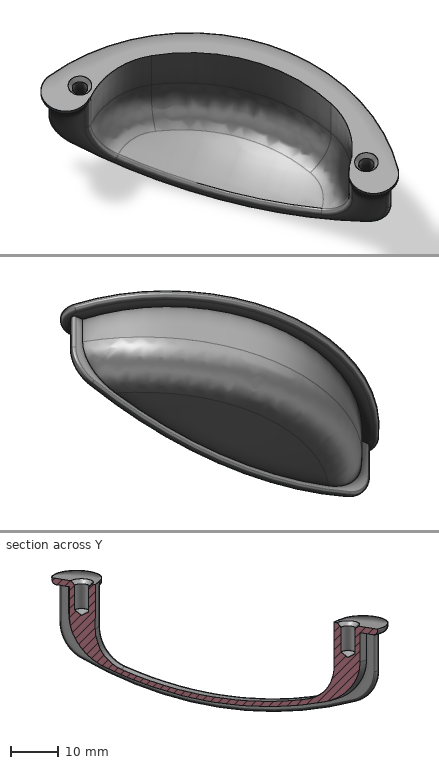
import cadquery as cq
import math

length = 79.0
flange_back = 25.75
flange_thickness = 1.5
flange_edge_radius = 1.0
lobe_radius = 5.3
lobe_x = length / 2 - lobe_radius
lobe_y = 0.7

height = 23.5
plate_half_width = 37.9
plate_thickness = 1.65
plate_corner_radius = 7.9
plate_front_radius = 0.7
plate_rear_radius = 0.55
belly_radius = 90.85
belly_axis_z = belly_radius - height

shell_back = 22.4
shell_inset = 1.4
shell_half_width = plate_half_width - shell_inset
shell_edge_radius = 9.5
floor_crown_radius = 63.2

cavity_back = 20.55
cavity_half_width = 28.75
cavity_back_radius = 40.05
cavity_floor_inset = 2.7
cavity_edge_radius = 8.2
mouth_edge_radius = 1.0
mouth_overrun = 7.9

hole_x = 31.8
hole_y = 3.0
hole_diameter = 3.2
countersink_diameter = 5.0
countersink_depth = (countersink_diameter - hole_diameter) / 2
hole_depth = 6.3
drill_tip_angle = 118.0
drill_tip_depth = hole_diameter / 2 / math.tan(math.radians(drill_tip_angle / 2))


def flange_blank():
    drop = flange_back - lobe_y
    back_radius = (lobe_x**2 + drop**2 - lobe_radius**2) / (2 * (drop - lobe_radius))
    center_y = flange_back - back_radius
    angle = math.atan2(lobe_y - center_y, lobe_x)
    touch_x = back_radius * math.cos(angle)
    touch_y = center_y + back_radius * math.sin(angle)
    inner_x = lobe_x - lobe_radius
    turn = (angle - math.pi) / 2
    low_x = lobe_x + lobe_radius * math.cos(turn)
    low_y = lobe_y + lobe_radius * math.sin(turn)
    blank = (
        cq.Workplane("XY")
        .moveTo(-inner_x, lobe_y)
        .threePointArc((-low_x, low_y), (-touch_x, touch_y))
        .threePointArc((0, flange_back), (touch_x, touch_y))
        .threePointArc((low_x, low_y), (inner_x, lobe_y))
        .close()
        .extrude(-flange_thickness)
    )
    return blank.faces("<Z").edges().fillet(flange_edge_radius)


def front_plate():
    corner_x = plate_half_width - plate_corner_radius
    center_distance = belly_radius - plate_corner_radius
    corner_z = belly_axis_z - math.sqrt(center_distance**2 - corner_x**2)
    angle = math.atan2(corner_z - belly_axis_z, corner_x)
    touch_x = belly_radius * math.cos(angle)
    touch_z = belly_axis_z + belly_radius * math.sin(angle)
    middle_x = corner_x + plate_corner_radius * math.cos(angle / 2)
    middle_z = corner_z + plate_corner_radius * math.sin(angle / 2)
    plate = (
        cq.Workplane("XZ")
        .moveTo(-plate_half_width, 0)
        .lineTo(-plate_half_width, corner_z)
        .threePointArc((-middle_x, middle_z), (-touch_x, touch_z))
        .threePointArc((0, -height), (touch_x, touch_z))
        .threePointArc((middle_x, middle_z), (plate_half_width, corner_z))
        .lineTo(plate_half_width, 0)
        .close()
        .extrude(-plate_thickness)
    )
    plate = plate.faces("<Y").edges("not >Z").fillet(plate_front_radius)
    return plate.faces(">Y").edges("not >Z").fillet(plate_rear_radius)


def belly(floor_radius):
    crown_fall = floor_crown_radius - math.sqrt(floor_crown_radius**2 - flange_back**2)
    half_back = flange_back / 2
    half_fall = floor_crown_radius - math.sqrt(floor_crown_radius**2 - half_back**2)
    floor_z = belly_axis_z - floor_radius
    return (
        cq.Workplane("YZ")
        .moveTo(-mouth_overrun, belly_axis_z)
        .lineTo(-mouth_overrun, floor_z)
        .lineTo(0, floor_z)
        .threePointArc((half_back, floor_z + half_fall), (flange_back, floor_z + crown_fall))
        .lineTo(flange_back, belly_axis_z)
        .close()
        .revolve(360, (0, belly_axis_z, 0), (1, belly_axis_z, 0))
    )


def shell_blank():
    plan = (
        cq.Workplane("XY")
        .moveTo(-shell_half_width, 0)
        .threePointArc((0, shell_back), (shell_half_width, 0))
        .close()
        .extrude(-height)
    )
    blank = plan.intersect(belly(belly_radius - shell_inset))
    return blank.faces("<Z").edges("not <Y").fillet(shell_edge_radius)


def cavity_blank():
    center_y = cavity_back - cavity_back_radius
    side_radius = (cavity_back_radius**2 - cavity_half_width**2 - center_y**2) / (
        2 * (cavity_back_radius - cavity_half_width)
    )
    side_x = cavity_half_width - side_radius
    angle = math.atan2(-center_y, side_x)
    touch_x = cavity_back_radius * math.cos(angle)
    touch_y = center_y + cavity_back_radius * math.sin(angle)
    middle_x = side_x + side_radius * math.cos(angle / 2)
    middle_y = side_radius * math.sin(angle / 2)
    plan = (
        cq.Workplane("XY")
        .moveTo(-cavity_half_width, -mouth_overrun)
        .lineTo(-cavity_half_width, 0)
        .threePointArc((-middle_x, middle_y), (-touch_x, touch_y))
        .threePointArc((0, cavity_back), (touch_x, touch_y))
        .threePointArc((middle_x, middle_y), (cavity_half_width, 0))
        .lineTo(cavity_half_width, -mouth_overrun)
        .close()
        .extrude(-height)
    )
    blank = plan.intersect(belly(belly_radius - cavity_floor_inset))
    back_floor_edge = cq.selectors.NearestToPointSelector((0, cavity_back, -height))
    return blank.edges(back_floor_edge).fillet(cavity_edge_radius)


def screw_hole(x):
    cutter = (
        cq.Workplane("XZ")
        .polyline(
            [
                (0, 0),
                (countersink_diameter / 2, 0),
                (hole_diameter / 2, -countersink_depth),
                (hole_diameter / 2, -hole_depth),
                (0, -hole_depth - drill_tip_depth),
            ]
        )
        .close()
        .revolve(360, (0, 0, 0), (0, 1, 0))
    )
    return cutter.translate((x, hole_y, 0))


cavity = cavity_blank()
cup = shell_blank().union(front_plate()).cut(cavity)
box_margin = 0.1
mouth_box = cq.selectors.BoxSelector(
    (-cavity_half_width - box_margin, -box_margin, cavity_floor_inset / 2 - height),
    (cavity_half_width + box_margin, box_margin, -box_margin),
)
cup = cup.edges(mouth_box).fillet(mouth_edge_radius)

result = cup.union(flange_blank().cut(cavity))
for side in (-1, 1):
    result = result.cut(screw_hole(side * hole_x))